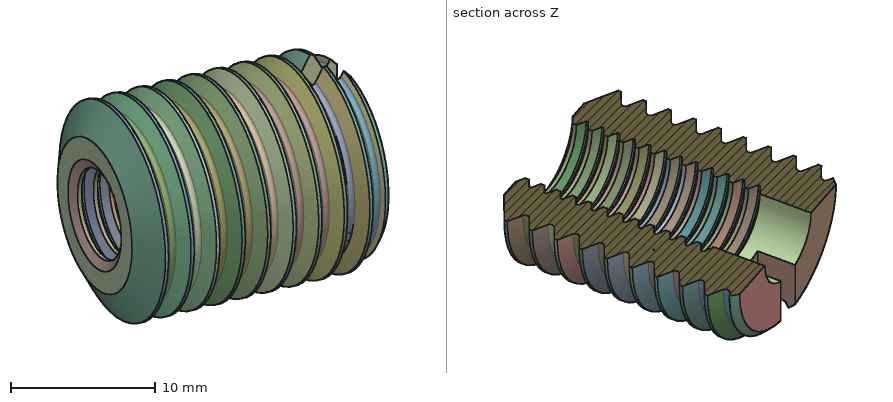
import cadquery as cq
import math

LENGTH = 19.5
FLANK_HALF_ANGLE = math.radians(30)
FLANK_SLOPE = 1 / math.tan(FLANK_HALF_ANGLE)

OUTER_RADIUS = 8.0
OUTER_PITCH = 2.0
OUTER_CREST_FLAT = OUTER_PITCH / 8
OUTER_ROOT_ROUND = OUTER_PITCH / 4 / math.sqrt(3)
FIRST_CREST_Y = 1.5
OUTER_GROOVE_COUNT = 9
CUTTER_OVERLAP = 1.0

LEAD_CHAMFER_LENGTH = FIRST_CREST_Y - OUTER_CREST_FLAT / 2
LEAD_CHAMFER_DEPTH = LEAD_CHAMFER_LENGTH * FLANK_SLOPE
SLOT_END_RADIUS = 6.77
SLOT_END_CHAMFER = OUTER_RADIUS - SLOT_END_RADIUS

BORE_MOUTH_RADIUS = 4.0
BORE_RADIUS = 3.3235
BORE_PITCH = 1.25
BORE_CREST_FLAT = BORE_PITCH / 4
BORE_ROOT_FLAT = BORE_PITCH / 8
BORE_FLANK_LENGTH = (BORE_PITCH - BORE_CREST_FLAT - BORE_ROOT_FLAT) / 2
BORE_ROOT_RADIUS = BORE_RADIUS + BORE_FLANK_LENGTH * FLANK_SLOPE
BORE_MOUTH_LENGTH = (BORE_MOUTH_RADIUS - BORE_RADIUS) / FLANK_SLOPE
FIRST_BORE_CREST_Y = BORE_MOUTH_LENGTH + BORE_CREST_FLAT / 2
BORE_GROOVE_COUNT = 12
PLAIN_BORE_RADIUS = 3.233
PLAIN_BORE_START_Y = BORE_MOUTH_LENGTH + BORE_GROOVE_COUNT * BORE_PITCH

SLOT_WIDTH = 2.0
SLOT_DEPTH = 3.0


def revolve_about_y(profile):
    """Spin a closed (radius, y) profile in the XY plane around the Y axis."""
    return profile.close().revolve(360, (0, 0, 0), (0, 1, 0))


def make_body():
    """Hollow cylinder: chamfered outer ends, a flared -Y bore mouth, a narrower bore at +Y."""
    profile = cq.Workplane("XY").polyline([
        (BORE_MOUTH_RADIUS, 0),
        (OUTER_RADIUS - LEAD_CHAMFER_DEPTH, 0),
        (OUTER_RADIUS, LEAD_CHAMFER_LENGTH),
        (OUTER_RADIUS, LENGTH - SLOT_END_CHAMFER),
        (SLOT_END_RADIUS, LENGTH),
        (PLAIN_BORE_RADIUS, LENGTH),
        (PLAIN_BORE_RADIUS, PLAIN_BORE_START_Y),
        (BORE_RADIUS, PLAIN_BORE_START_Y),
        (BORE_RADIUS, BORE_MOUTH_LENGTH),
    ])
    return revolve_about_y(profile)


def outer_groove(center_y):
    """Ring cutter: 60 degree V with a rounded root, open beyond the crests."""
    half_mouth = (OUTER_PITCH - OUTER_CREST_FLAT) / 2
    tangent_half = OUTER_ROOT_ROUND * math.cos(FLANK_HALF_ANGLE)
    tangent_radius = OUTER_RADIUS - (half_mouth - tangent_half) * FLANK_SLOPE
    bottom_radius = tangent_radius - OUTER_ROOT_ROUND * (1 - math.sin(FLANK_HALF_ANGLE))
    clear_radius = OUTER_RADIUS + CUTTER_OVERLAP
    profile = (
        cq.Workplane("XY")
        .moveTo(clear_radius, center_y - half_mouth)
        .lineTo(OUTER_RADIUS, center_y - half_mouth)
        .lineTo(tangent_radius, center_y - tangent_half)
        .threePointArc((bottom_radius, center_y), (tangent_radius, center_y + tangent_half))
        .lineTo(OUTER_RADIUS, center_y + half_mouth)
        .lineTo(clear_radius, center_y + half_mouth)
    )
    return revolve_about_y(profile)


def bore_groove(center_y):
    """Ring cutter: trapezoid widening toward the bore axis."""
    half_mouth = BORE_ROOT_FLAT / 2 + BORE_FLANK_LENGTH
    clear_radius = BORE_RADIUS / 2
    profile = cq.Workplane("XY").polyline([
        (clear_radius, center_y - half_mouth),
        (BORE_RADIUS, center_y - half_mouth),
        (BORE_ROOT_RADIUS, center_y - BORE_ROOT_FLAT / 2),
        (BORE_ROOT_RADIUS, center_y + BORE_ROOT_FLAT / 2),
        (BORE_RADIUS, center_y + half_mouth),
        (clear_radius, center_y + half_mouth),
    ])
    return revolve_about_y(profile)


def make_slot():
    """Straight slot across the full diameter of the +Y end, running along Z."""
    slot_length = 2 * (OUTER_RADIUS + CUTTER_OVERLAP)
    return cq.Workplane("XY").box(SLOT_WIDTH, 2 * SLOT_DEPTH, slot_length).translate((0, LENGTH, 0))


result = make_body()
for index in range(OUTER_GROOVE_COUNT):
    result = result.cut(outer_groove(FIRST_CREST_Y + (index + 0.5) * OUTER_PITCH))
for index in range(BORE_GROOVE_COUNT):
    result = result.cut(bore_groove(FIRST_BORE_CREST_Y + (index + 0.5) * BORE_PITCH))
result = result.cut(make_slot())